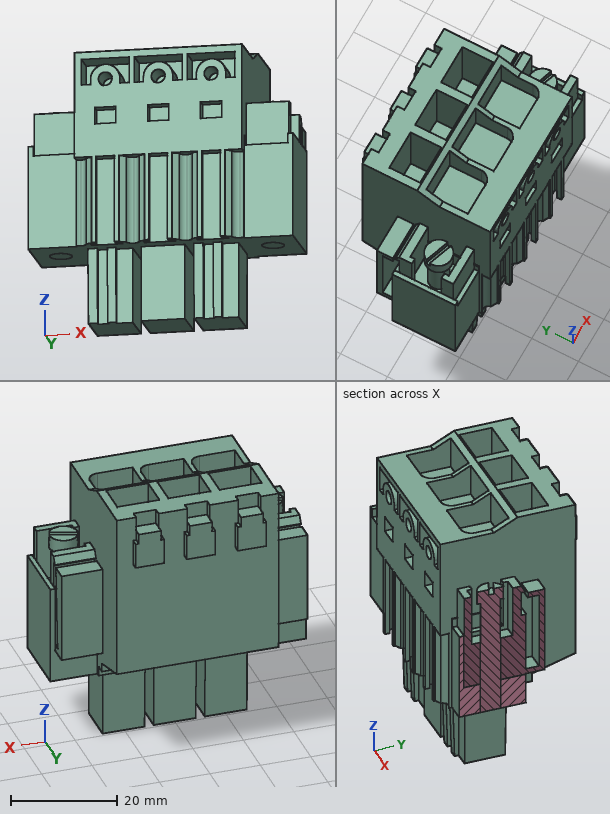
import cadquery as cq


total_width = 50.7
total_height = 53.9
pole_count = 3
pole_pitch = 10.15
pole_centres = [(i - (pole_count - 1) / 2) * pole_pitch for i in range(pole_count)]

housing_width = 32.05
housing_back = 27.4
base_z = 14.45
apron_z = 31.15
front_top_z = 51.6
slope_front = 10.85
slope_back = 15.65
chin_z = 20.6
chin_step_back = 18.6
chin_step_top = 18.1
chin_step_bottom = 16.4
base_back = 16.65

strip_inner = 1.8
strip_outer = 2.65
flank_front = 0.3
flank_back = 0.95
groove_half_width = 1.25
groove_bottom = 2.1
groove_radius = 1.4
slot_lip = 0.95
slot_floor_y = 2.05
slot_inner_width = 5.95

entry_width = 8.35
entry_front = 15.95
entry_back = 22.55
entry_depth = 13.5
well_width = 9.15
well_front = 5.5
well_back = 14.4
well_floor_z = 46.9
well_corner_radius = 2.15
recess_width = 9.15
recess_top = 50.2
recess_bottom = 45.2
recess_depth = 4.85
boss_radius = 2.8
boss_z = 46.2
boss_hole_radius = 1.3
window_width = 4.05
window_top = 40.7
window_bottom = 37.5
window_depth = 2.1

lever_shift = -0.15
lever_back = 28.9
lever_width = 5.65
lever_shoulder_z = 49.0
lever_top = 51.0
lever_bottom = 43.9
tongue_width = 4.4
tongue_front = 25.8

prong_width = 8.35
prong_tip_front = 4.8
prong_root_front = 4.35
prong_tip_back = 13.85
prong_root_back = 14.05
prong_groove_y = 5.6
plain_front = 4.8
edge_rib_width = 1.8
rib_gap = 1.95
middle_rib_width = 1.6

wall = 0.95
shell_front = 2.35
shell_back = 15.9
shell_top = 34.4
shell_front_lip_z = 32.55

insert_width = 8.15
insert_front = shell_front + wall
insert_back = shell_back - wall
insert_top = 40.9
flange_x = total_width / 2 - wall - insert_width / 2
flange_centres = [-flange_x, flange_x]
pocket_front = 4.9
pocket_back = 13.15
pocket_floor_z = 30.3
side_wall = 1.15
side_gap_front = 5.9
side_gap_back = 12.2
side_gap_sill_z = 31.25
hook_underside_z = 39.35
hook_edge_z = 39.5
hook_reach = 0.85
clip_back = 19.7
clip_front = 16.3
clip_top = 39.15
clip_bottom = 20.95
clip_bar = 1.2
web_foot_y = 17.4

screw_y = 8.7
screw_top = 41.7
head_radius = 2.75
head_height = 2.8
shank_radius = 2.1
driver_slot_width = 0.9
driver_slot_depth = 1.2
driver_slot_angle = -19.0


def block(x, y, z):
    """Box spanning the three (low, high) ranges."""
    return (
        cq.Workplane("XY")
        .box(x[1] - x[0], y[1] - y[0], z[1] - z[0], centered=False)
        .translate((x[0], y[0], z[0]))
    )


def span(centre, width):
    return (centre - width / 2, centre + width / 2)


def side_extrusion(points, x):
    """Outline in (Y, Z) extruded over the X range."""
    return cq.Workplane("YZ").polyline(points).close().extrude(x[1] - x[0]).translate((x[0], 0, 0))


def front_cylinder(x, z, radius, depth):
    """Cylinder running back from the front face."""
    return cq.Workplane("XZ").center(x, z).circle(radius).extrude(-depth)


def screw_cylinder(x, radius, bottom, top):
    return cq.Workplane("XY").center(x, screw_y).circle(radius).extrude(top - bottom).translate((0, 0, bottom))


def housing_block():
    outline = [
        (0, base_z),
        (0, front_top_z),
        (slope_front, front_top_z),
        (slope_back, total_height),
        (housing_back, total_height),
        (housing_back, chin_z),
        (chin_step_back, chin_step_top),
        (chin_step_back, chin_step_bottom),
        (base_back, chin_step_bottom),
        (base_back, base_z),
    ]
    return side_extrusion(outline, span(0, housing_width))


def front_groove(x):
    """Round-bottomed groove between two poles, opening to the front along sloping flanks."""
    half_mouth = pole_pitch / 2 - strip_outer
    groove = (
        cq.Workplane("XY")
        .moveTo(x - half_mouth, 0)
        .lineTo(x - half_mouth, flank_front)
        .lineTo(x - groove_half_width, flank_back)
        .radiusArc((x, groove_bottom), groove_radius)
        .radiusArc((x + groove_half_width, flank_back), groove_radius)
        .lineTo(x + half_mouth, flank_front)
        .lineTo(x + half_mouth, 0)
        .close()
        .extrude(apron_z - base_z)
    )
    return groove.translate((0, 0, base_z))


def t_slot(x):
    """Slot between the two front strips of a pole, wider behind them."""
    z_range = (base_z, apron_z)
    mouth = block(span(x, 2 * strip_inner), (0, slot_lip), z_range)
    inner = block(span(x, slot_inner_width), (slot_lip, slot_floor_y), z_range)
    return mouth.union(inner)


def wire_entry(x):
    return block(span(x, entry_width), (entry_front, entry_back), (total_height - entry_depth, total_height))


def well(x):
    pocket = block(span(x, well_width), (well_front, well_back), (well_floor_z, total_height))
    return pocket.edges("|Z and >X and <Y").fillet(well_corner_radius)


def arched_recess(x):
    """Shallow front recess around an arched boss with a hole in it."""
    recess = block(span(x, recess_width), (0, recess_depth), (recess_bottom, recess_top))
    boss = front_cylinder(x, boss_z, boss_radius, recess_depth)
    boss_foot = block(span(x, 2 * boss_radius), (0, recess_depth), (recess_bottom, boss_z))
    hole = front_cylinder(x, boss_z, boss_hole_radius, recess_depth)
    return recess.cut(boss).cut(boss_foot).union(hole)


def test_window(x):
    return block(span(x, window_width), (0, window_depth), (window_bottom, window_top))


def lever_notch(x):
    return block(span(x, tongue_width), (tongue_front, housing_back), (lever_bottom, total_height))


def prong(x, ribbed):
    """Contact prong: plain, or with two tapering ribs on its front."""
    rib_outline = [
        (prong_tip_front, 0),
        (prong_root_front, base_z),
        (prong_root_back, base_z),
        (prong_tip_back, 0),
    ]
    left, right = span(x, prong_width)
    front = prong_groove_y if ribbed else plain_front
    core_outline = [(front, 0), (front, base_z)] + rib_outline[2:]
    body = side_extrusion(core_outline, (left, right))
    if ribbed:
        middle_rib = left + edge_rib_width + rib_gap
        body = body.union(side_extrusion(rib_outline, (left, left + edge_rib_width)))
        body = body.union(side_extrusion(rib_outline, (middle_rib, middle_rib + middle_rib_width)))
    return body


def flange_shell(x):
    inner, outer = housing_width / 2, total_width / 2
    x_range = (inner, outer) if x > 0 else (-outer, -inner)
    shell = block(x_range, (shell_front, shell_back), (base_z, shell_top))
    cavity = block(span(x, insert_width), (insert_front, shell_back), (clip_bottom, shell_top))
    front_notch = block(span(x, insert_width), (shell_front, insert_front), (shell_front_lip_z, shell_top))
    screw_hole = screw_cylinder(x, shank_radius, base_z, shell_top)
    return shell.cut(cavity).cut(front_notch).cut(screw_hole)


def make_housing():
    housing = housing_block()
    groove_centres = [(i - pole_count / 2) * pole_pitch for i in range(pole_count + 1)]
    for x in groove_centres:
        housing = housing.cut(front_groove(x))
    for x in pole_centres:
        housing = housing.cut(t_slot(x))
        housing = housing.cut(wire_entry(x))
        housing = housing.cut(well(x))
        housing = housing.cut(arched_recess(x))
        housing = housing.cut(test_window(x))
        housing = housing.cut(lever_notch(x + lever_shift))
    for x in flange_centres:
        housing = housing.union(flange_shell(x))
    for i, x in enumerate(pole_centres):
        housing = housing.union(prong(x, ribbed=i % 2 == 0))
    return housing


def make_lever(x):
    """Lever with a wide body behind the housing and a tongue in the housing's notch."""
    tongue = block(span(x, tongue_width), (tongue_front, lever_back), (lever_bottom, lever_top))
    body = block(span(x, lever_width), (housing_back, lever_back), (lever_bottom, lever_shoulder_z))
    return body.union(tongue)


def insert_clip(x):
    """Frame behind the shell: back plate, top and bottom bars, and a leaning web at its +X end."""
    left, right = span(x, insert_width)
    back_plate = block((left, right), (clip_back - clip_bar, clip_back), (clip_bottom, clip_top))
    top_bar = block((left, right), (clip_front, clip_back), (clip_top - clip_bar, clip_top))
    bottom_bar = block((left, right), (insert_back, clip_back), (clip_bottom, clip_bottom + clip_bar))
    web_outline = [
        (clip_front, clip_top),
        (clip_back, clip_top),
        (clip_back, clip_bottom),
        (web_foot_y, clip_bottom),
    ]
    web = side_extrusion(web_outline, (right - clip_bar, right))
    return back_plate.union(top_bar).union(bottom_bar).union(web)


def insert_hook(x):
    """Latching hook along the top of the insert's rear wall."""
    outline = [
        (insert_back, insert_top),
        (insert_back, hook_underside_z),
        (insert_back + hook_reach, hook_underside_z),
        (insert_back + hook_reach, hook_edge_z),
    ]
    return side_extrusion(outline, span(x, insert_width))


def make_insert(x):
    left, right = span(x, insert_width)
    pocket_z = (pocket_floor_z, insert_top)
    insert = block((left, right), (insert_front, insert_back), (clip_bottom, insert_top))
    rear_filler = block((left, right), (insert_back, shell_back), (clip_bottom, shell_top))
    insert = insert.union(rear_filler)
    insert = insert.cut(block((left + side_wall, right), (pocket_front, pocket_back), pocket_z))
    side_gap_z = (side_gap_sill_z, insert_top)
    insert = insert.cut(block((left, left + side_wall), (side_gap_front, side_gap_back), side_gap_z))
    insert = insert.cut(screw_cylinder(x, shank_radius, clip_bottom, insert_top))
    return insert.union(insert_hook(x)).union(insert_clip(x))


def make_screw(x):
    head_bottom = screw_top - head_height
    head = screw_cylinder(x, head_radius, head_bottom, screw_top)
    shank = screw_cylinder(x, shank_radius, base_z, head_bottom)
    slot = (
        cq.Workplane("XY")
        .box(2 * head_radius, driver_slot_width, driver_slot_depth, centered=(True, True, False))
        .rotate((0, 0, 0), (0, 0, 1), driver_slot_angle)
        .translate((x, screw_y, screw_top - driver_slot_depth))
    )
    return head.union(shank).cut(slot)


housing = make_housing()
levers = [make_lever(x + lever_shift) for x in pole_centres]
inserts = [make_insert(x) for x in flange_centres]
screws = [make_screw(x) for x in flange_centres]

result = cq.Compound.makeCompound(
    [housing.val()] + [body.val() for body in levers + inserts + screws]
)